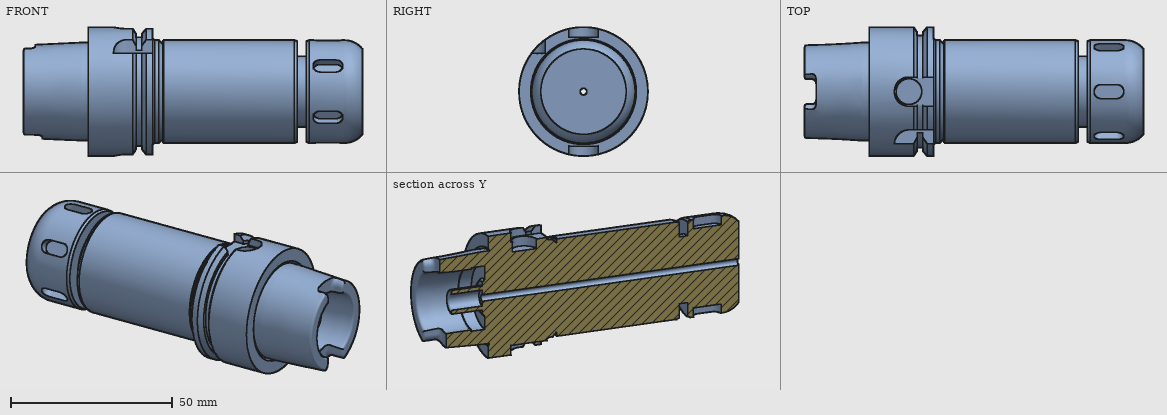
import cadquery as cq
import math

total_length = 105.0

taper_end_radius = 14.4
taper_length = 17.7
taper_base_radius = 15.2
relief_depth = 0.4
relief_radius = 16.0
rim_fillet = 0.7

flange_radius = 20.0
flange_start = 20.0
flange_end = 40.0
groove_radius = 17.4
groove_wall_radius = 18.5
groove_left_lip = 33.8
groove_floor_start = 34.9
groove_floor_end = 36.6
groove_right_lip = 38.0

body_radius = 16.0
collar_step_radius = 16.4
collar_step_end = 40.6
collar_end = 41.9
body_start = 43.2
collar_neck_radius = body_radius - (body_start - collar_end)
body_end = 84.8
body_front_chamfer = 0.3
edge_bevel_length = 0.9
edge_bevel_height = 0.4

neck_radius = 11.0
nut_start = 87.6
nut_round_start = 99.2
nut_face_radius = 13.2
nut_round_width = total_length - nut_round_start
nut_round_drop = body_radius - nut_face_radius
nut_round_radius = (nut_round_width**2 + nut_round_drop**2) / (2 * nut_round_drop)

wrench_slot_count = 6
wrench_slot_width = 4.3
wrench_slot_start = 89.7
wrench_slot_end = 98.9
wrench_slot_floor_radius = 13.0

bore_mouth_radius = 10.3
bore_radius = 9.9
bore_cone_end = 8.2
bore_land_end = 14.4
cavity_depth = 18.9
boss_radius = 6.1
boss_face_radius = 5.2
boss_height = boss_radius - boss_face_radius
tube_radius = 4.0
tube_tip = 7.6
tube_bore_radius = 2.5
tube_lip_fillet = 0.6
coolant_hole_radius = 1.0

keyway_half_width = 3.83
keyway_corner_radius = 2.4
keyway_corner_start = 11.1
keyway_floor_fillet = 1.3
upper_keyway_depth = 3.6
lower_keyway_depth = 5.8

slot_width = 9.0
slot_end_center = 32.3
slot_floor_height = 16.9
data_hole_diameter = 8.0
data_hole_depth = 3.2
notch_wall_offset = 11.9
notch_floor_height = 11.81


def revolve_about_x(outline):
    return outline.close().revolve(360, (0, 0, 0), (1, 0, 0))


def make_shank():
    outline = (
        cq.Workplane("XZ")
        .moveTo(0, 0)
        .lineTo(0, taper_end_radius)
        .lineTo(taper_length, taper_base_radius)
        .lineTo(flange_start + relief_depth, taper_base_radius)
        .lineTo(flange_start + relief_depth, 0)
    )
    return revolve_about_x(outline)


def make_cavity():
    outline = (
        cq.Workplane("XZ")
        .lineTo(0, bore_mouth_radius)
        .lineTo(bore_cone_end, bore_radius)
        .lineTo(bore_land_end, bore_radius)
        .lineTo(bore_land_end, bore_mouth_radius)
        .lineTo(cavity_depth, bore_mouth_radius)
        .lineTo(cavity_depth, 0)
    )
    return revolve_about_x(outline)


def make_keyway(depth, turn):
    """Cutter for one end keyway; turn is its angle about X, measured from +Z."""
    corner_y = keyway_half_width + keyway_corner_radius
    corner_z = keyway_corner_start + keyway_corner_radius
    bend = keyway_corner_radius * (1 - math.sqrt(0.5))
    bend_y = keyway_half_width + bend
    bend_z = corner_z - bend
    inner_z = bore_radius / 2
    outer_z = taper_end_radius + 2 * keyway_floor_fillet
    return (
        cq.Workplane("YZ")
        .moveTo(-keyway_half_width, inner_z)
        .lineTo(keyway_half_width, inner_z)
        .lineTo(keyway_half_width, keyway_corner_start)
        .threePointArc((bend_y, bend_z), (corner_y, corner_z))
        .lineTo(corner_y, outer_z)
        .lineTo(-corner_y, outer_z)
        .lineTo(-corner_y, corner_z)
        .threePointArc((-bend_y, bend_z), (-keyway_half_width, keyway_corner_start))
        .close()
        .extrude(depth)
        .faces(">X")
        .edges("%CIRCLE")
        .fillet(keyway_floor_fillet)
        .rotate((0, 0, 0), (1, 0, 0), turn)
    )


def make_holder_body():
    outline = (
        cq.Workplane("XY")
        .moveTo(flange_start + relief_depth, 0)
        .lineTo(flange_start + relief_depth, taper_base_radius)
        .lineTo(flange_start, relief_radius)
        .lineTo(flange_start, flange_radius)
        .lineTo(groove_left_lip, flange_radius)
        .lineTo(groove_floor_start, groove_wall_radius)
        .lineTo(groove_floor_start, groove_radius)
        .lineTo(groove_floor_end, groove_radius)
        .lineTo(groove_floor_end, groove_wall_radius)
        .lineTo(groove_right_lip, flange_radius)
        .lineTo(flange_end, flange_radius)
        .lineTo(flange_end, collar_step_radius)
        .lineTo(collar_step_end, body_radius)
        .lineTo(collar_end, body_radius)
        .lineTo(body_start, collar_neck_radius)
        .lineTo(body_start, body_radius - body_front_chamfer)
        .lineTo(body_start + body_front_chamfer, body_radius)
        .lineTo(body_end - edge_bevel_length, body_radius)
        .lineTo(body_end, body_radius - edge_bevel_height)
        .lineTo(body_end, neck_radius)
        .lineTo(nut_start, neck_radius)
        .lineTo(nut_start, body_radius - edge_bevel_height)
        .lineTo(nut_start + edge_bevel_length, body_radius)
        .lineTo(nut_round_start, body_radius)
        .radiusArc((total_length, nut_face_radius), nut_round_radius)
        .lineTo(total_length, 0)
    )
    return revolve_about_x(outline)


def make_flange_slot(center_y, floor_z):
    """Round-ended slot along X, open at the back of the flange and upwards."""
    half = slot_width / 2
    return (
        cq.Workplane("XY", origin=(0, center_y, floor_z))
        .moveTo(flange_end, -half)
        .lineTo(slot_end_center, -half)
        .threePointArc((slot_end_center - half, 0), (slot_end_center, half))
        .lineTo(flange_end, half)
        .close()
        .extrude(flange_radius)
    )


def make_data_hole():
    return (
        cq.Workplane("XY", origin=(slot_end_center, 0, slot_floor_height - data_hole_depth))
        .circle(data_hole_diameter / 2)
        .extrude(flange_radius)
    )


def make_wrench_slot(angle):
    length = wrench_slot_end - wrench_slot_start
    middle = (wrench_slot_start + wrench_slot_end) / 2
    return (
        cq.Workplane("XY", origin=(middle, 0, wrench_slot_floor_radius))
        .slot2D(length, wrench_slot_width)
        .extrude(body_radius)
        .rotate((0, 0, 0), (1, 0, 0), angle)
    )


def make_coolant_tube():
    """Hollow tube with a rounded lip, standing on a chamfered boss in the cavity."""
    boss_face = cavity_depth - boss_height
    outline = (
        cq.Workplane("XY")
        .moveTo(cavity_depth, 0)
        .lineTo(cavity_depth, boss_radius)
        .lineTo(boss_face, boss_face_radius)
        .lineTo(boss_face, tube_radius)
        .lineTo(tube_tip, tube_radius)
        .lineTo(tube_tip, tube_bore_radius)
        .lineTo(boss_face, tube_bore_radius)
        .lineTo(boss_face, 0)
    )
    return revolve_about_x(outline).faces("<X").edges().fillet(tube_lip_fillet)


shank = make_shank()
shank = shank.cut(make_cavity())
shank = shank.cut(make_keyway(upper_keyway_depth, 0))
shank = shank.cut(make_keyway(lower_keyway_depth, 180))
shank = shank.faces("<X").edges().fillet(rim_fillet)

holder = make_holder_body()
drive_slot = make_flange_slot(0, slot_floor_height)
holder = holder.cut(drive_slot)
holder = holder.cut(drive_slot.rotate((0, 0, 0), (1, 0, 0), 180))
holder = holder.cut(make_data_hole())
notch_center = -(notch_wall_offset + slot_width / 2)
holder = holder.cut(make_flange_slot(notch_center, notch_floor_height))
for index in range(wrench_slot_count):
    holder = holder.cut(make_wrench_slot(index * 360 / wrench_slot_count))

coolant_hole = cq.Workplane("YZ").circle(coolant_hole_radius).extrude(total_length)
result = holder.union(shank).union(make_coolant_tube()).cut(coolant_hole)